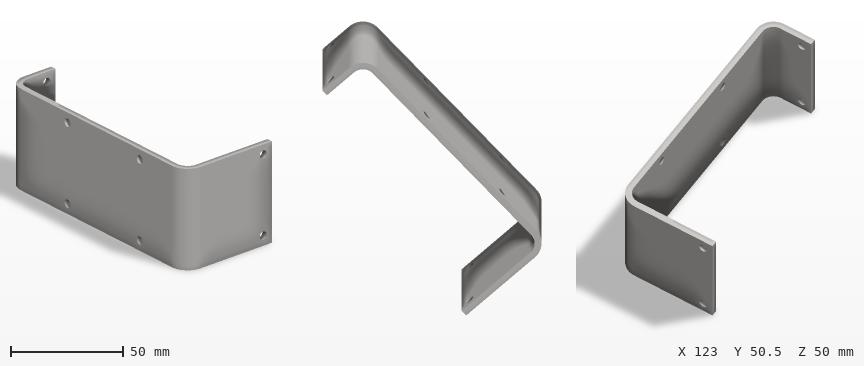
import cadquery as cq

length = 123.0
height = 50.0
tall_flange_depth = 50.5
short_flange_depth = 25.2

thickness = 3.1
outer_bend_radius = 9.0
inner_bend_radius = outer_bend_radius - thickness

hole_diameter = 4.0
edge_inset = 5.0
web_hole_spacing = 50.0
first_web_hole_x = 41.5
hole_heights = (edge_inset, height - edge_inset)


def bent_strip():
    """Unequal U-shaped sheet profile, extruded along Z."""
    blank = cq.Workplane("XY").box(length, tall_flange_depth, height, centered=False)
    blank = blank.edges("|Z and <Y").fillet(outer_bend_radius)
    inside = (
        cq.Workplane("XY")
        .box(length - 2 * thickness, tall_flange_depth, height, centered=False)
        .edges("|Z and <Y")
        .fillet(inner_bend_radius)
        .translate((thickness, thickness, 0))
    )
    beyond_short_flange = (
        cq.Workplane("XY")
        .box(length / 2, tall_flange_depth, height, centered=False)
        .translate((0, short_flange_depth, 0))
    )
    return blank.cut(inside).cut(beyond_short_flange)


def drill(start, direction):
    """Cylinder through one sheet thickness, starting on its lower-coordinate face."""
    return cq.Workplane(
        cq.Solid.makeCylinder(hole_diameter / 2, thickness, cq.Vector(*start), cq.Vector(*direction))
    )


result = bent_strip()
for z in hole_heights:
    for x in (first_web_hole_x, first_web_hole_x + web_hole_spacing):
        result = result.cut(drill((x, 0, z), (0, 1, 0)))
    result = result.cut(drill((0, short_flange_depth - edge_inset, z), (1, 0, 0)))
    result = result.cut(drill((length - thickness, tall_flange_depth - edge_inset, z), (1, 0, 0)))